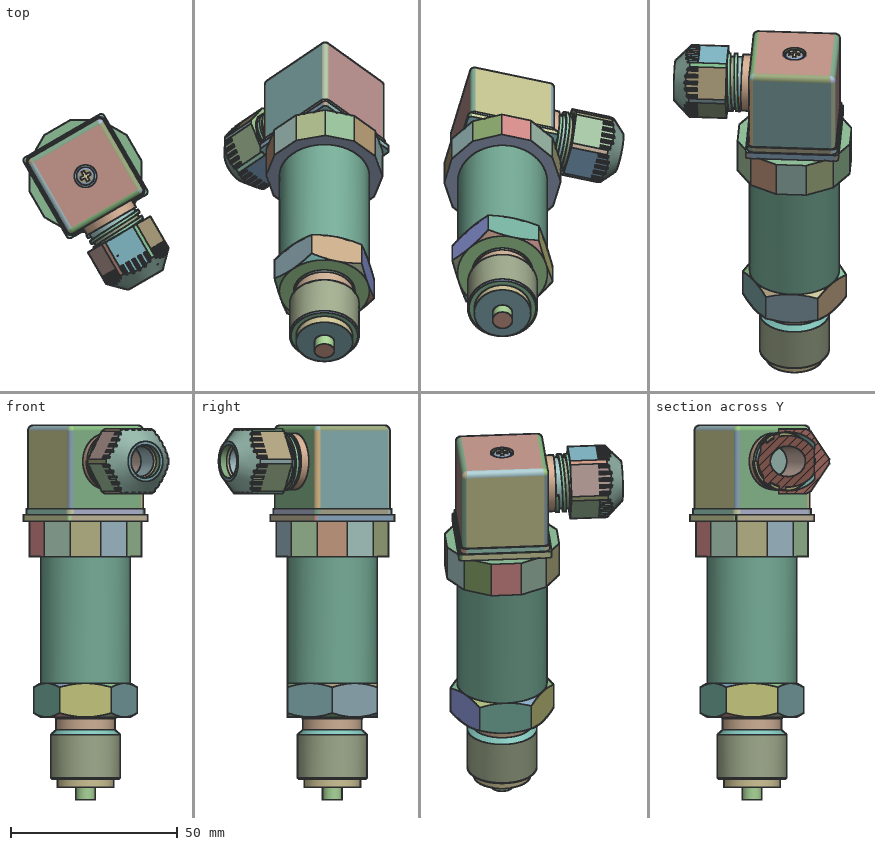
import cadquery as cq
import math

HEAD_TURN = 30.0

Z_PIN_TIP = 0.0
Z_SPIGOT = 3.7
Z_THREAD = 6.2
Z_RELIEF_CONE = 19.6
Z_RELIEF = 21.0
Z_SHOULDER_CONE = 24.3
Z_HEX = 24.8
Z_TUBE = 35.0
Z_COUPLING = 73.0
Z_GASKET = 83.5
Z_FLANGE = 85.5
Z_HOUSING = 87.2
Z_TOP = 112.4

PIN_DIAMETER = 6.0
SPIGOT_DIAMETER = 17.0
THREAD_DIAMETER = 20.9
THREAD_CHAMFER = 0.5
RELIEF_DIAMETER = 17.8
SHOULDER_DIAMETER = 18.4
HEX_ACROSS_FLATS = 27.0
HEX_CHAMFER_ANGLE = 30.0

TUBE_DIAMETER = 27.0
COUPLING_SIDES = 12
COUPLING_ACROSS_FLATS = 33.7

HOUSING_WIDTH = 26.1
HOUSING_CORNER_RADIUS = 1.3
HOUSING_TOP_RADIUS = 1.7
FLANGE_OVERHANG = 0.5
GASKET_WIDTH = 27.9
GASKET_CORNER_RADIUS = 1.0

SCREW_HOLE_DIAMETER = 6.7
SCREW_HOLE_DEPTH = 1.1
SCREW_HEAD_DIAMETER = 5.4
SCREW_HEAD_ROUNDING = 0.6
SCREW_SLOT_LENGTH = 3.3
SCREW_SLOT_WIDTH = 0.9
SCREW_SLOT_DEPTH = 0.7

GLAND_Z = 101.5
COLLAR_DIAMETER = 17.0
COLLAR_END = 15.6
CORE_DIAMETER = 15.5
CORE_END = 25.5
CREST_DIAMETER = 17.4
GLAND_PITCH = 2.1
GLAND_THREAD_START = 16.0
RIDGE_WIDTH = 1.0
RIDGE_SINK = 0.1
CABLE_BORE = 9.0

NUT_BACK = 20.1
NUT_BORE_DIAMETER = CREST_DIAMETER + 0.1
NUT_FRONT = 36.0
NUT_ACROSS_FLATS = 19.5
NUT_CORNER_DIAMETER = 21.7
NUT_FACE_DIAMETER = 12.0
NUT_CONE_ANGLE = 45.0
NUT_MOUTH_DIAMETER = 10.0
GRIP_SLOTS_PER_FLAT = 5
GRIP_SLOT_SPACING = 2.0
GRIP_SLOT_WIDTH = 1.0
GRIP_SLOT_FLOOR_WIDTH = 0.5
GRIP_SLOT_DEPTH = 0.5
GRIP_SLOT_START = 28.7

SEAL_DIAMETER = 14.0
SEAL_FRONT = NUT_FRONT - 2.2
SEAL_LEAD_IN = 0.7

HEX_SIDES = 6
OVERSHOOT = 1.1


def disc(diameter, z_low, z_high):
    """Cylinder on the Z axis between two heights."""
    return cq.Workplane("XY").workplane(offset=z_low).circle(diameter / 2).extrude(z_high - z_low)


def rounded_square(width, corner_radius, z_low, z_high):
    """Square block centred on Z with rounded vertical edges."""
    block = cq.Workplane("XY").workplane(offset=z_low).rect(width, width).extrude(z_high - z_low)
    return block.edges("|Z").fillet(corner_radius)


def prism(sides, across_flats, length):
    """Regular prism on Z from the origin, with flats facing +Y and -Y."""
    corner_radius = across_flats / 2 / math.cos(math.pi / sides)
    turn = math.pi / 2 - math.pi / sides
    corners = [
        (
            corner_radius * math.cos(turn + 2 * math.pi * i / sides),
            corner_radius * math.sin(turn + 2 * math.pi * i / sides),
        )
        for i in range(sides)
    ]
    return cq.Workplane("XY").polyline(corners).close().extrude(length)


def revolved(points):
    """Solid of revolution about Z from (radius, height) points."""
    return cq.Workplane("XZ").polyline(points).close().revolve(360, (0, 0, 0), (0, 1, 0))


def on_gland_axis(shape):
    """Move a shape built along +Z from the origin onto the axis of the cable gland."""
    return shape.rotate((0, 0, 0), (1, 0, 0), 90).translate((0, 0, GLAND_Z))


def turn_head(shape):
    """Turn a part of the connector head into its final direction."""
    return shape.rotate((0, 0, 0), (0, 0, 1), HEAD_TURN)


def make_process_fitting():
    thread_radius = THREAD_DIAMETER / 2
    stem = revolved([
        (0, Z_PIN_TIP),
        (PIN_DIAMETER / 2, Z_PIN_TIP),
        (PIN_DIAMETER / 2, Z_SPIGOT),
        (SPIGOT_DIAMETER / 2, Z_SPIGOT),
        (SPIGOT_DIAMETER / 2, Z_THREAD),
        (thread_radius - THREAD_CHAMFER, Z_THREAD),
        (thread_radius, Z_THREAD + THREAD_CHAMFER),
        (thread_radius, Z_RELIEF_CONE),
        (RELIEF_DIAMETER / 2, Z_RELIEF),
        (RELIEF_DIAMETER / 2, Z_SHOULDER_CONE),
        (SHOULDER_DIAMETER / 2, Z_HEX),
        (0, Z_HEX),
    ])
    flat_radius = HEX_ACROSS_FLATS / 2
    corner_radius = flat_radius / math.cos(math.pi / HEX_SIDES)
    rise = (corner_radius - flat_radius) * math.tan(math.radians(HEX_CHAMFER_ANGLE))
    chamfer_envelope = revolved([
        (0, Z_HEX),
        (flat_radius, Z_HEX),
        (corner_radius, Z_HEX + rise),
        (corner_radius, Z_TUBE - rise),
        (flat_radius, Z_TUBE),
        (0, Z_TUBE),
    ])
    hexagon = prism(HEX_SIDES, HEX_ACROSS_FLATS, Z_TUBE - Z_HEX).translate((0, 0, Z_HEX))
    return stem.union(hexagon.intersect(chamfer_envelope))


def make_tube():
    return disc(TUBE_DIAMETER, Z_TUBE, Z_COUPLING)


def make_coupling():
    return prism(COUPLING_SIDES, COUPLING_ACROSS_FLATS, Z_GASKET - Z_COUPLING).translate((0, 0, Z_COUPLING))


def make_gasket():
    return turn_head(rounded_square(GASKET_WIDTH, GASKET_CORNER_RADIUS, Z_GASKET, Z_FLANGE))


def make_thread_ridge():
    buried_radius = CORE_DIAMETER / 2 - RIDGE_SINK
    length = NUT_BACK + GLAND_PITCH / 2 - GLAND_THREAD_START
    helix = cq.Wire.makeHelix(GLAND_PITCH, length, CORE_DIAMETER / 2, cq.Vector(0, 0, GLAND_THREAD_START))
    profile = (
        cq.Workplane("XZ")
        .polyline([
            (buried_radius, GLAND_THREAD_START - RIDGE_WIDTH / 2),
            (CREST_DIAMETER / 2, GLAND_THREAD_START - RIDGE_WIDTH / 2),
            (CREST_DIAMETER / 2, GLAND_THREAD_START + RIDGE_WIDTH / 2),
            (buried_radius, GLAND_THREAD_START + RIDGE_WIDTH / 2),
        ])
        .close()
    )
    return profile.sweep(helix, isFrenet=True).rotate((0, 0, 0), (0, 0, 1), 180)


def make_housing():
    body = rounded_square(HOUSING_WIDTH, HOUSING_CORNER_RADIUS, Z_FLANGE, Z_TOP)
    body = body.faces(">Z").edges().fillet(HOUSING_TOP_RADIUS)
    flange = rounded_square(
        HOUSING_WIDTH + 2 * FLANGE_OVERHANG, HOUSING_CORNER_RADIUS + FLANGE_OVERHANG, Z_FLANGE, Z_HOUSING
    )
    collar = disc(COLLAR_DIAMETER, 0, COLLAR_END)
    core = disc(CORE_DIAMETER, 0, CORE_END)
    bore = disc(CABLE_BORE, HOUSING_WIDTH / 2, CORE_END + OVERSHOOT)
    gland = core.union(make_thread_ridge()).union(collar)
    housing = body.union(flange).union(on_gland_axis(gland)).cut(on_gland_axis(bore))
    housing = housing.cut(disc(SCREW_HOLE_DIAMETER, Z_TOP - SCREW_HOLE_DEPTH, Z_TOP + OVERSHOOT))
    return turn_head(housing)


def make_screw():
    screw = disc(SCREW_HEAD_DIAMETER, Z_TOP - SCREW_HOLE_DEPTH, Z_TOP).faces(">Z").edges().fillet(SCREW_HEAD_ROUNDING)
    slot = cq.Workplane("XY").box(SCREW_SLOT_LENGTH, SCREW_SLOT_WIDTH, 2 * SCREW_SLOT_DEPTH)
    for angle in (0, 90):
        screw = screw.cut(slot.rotate((0, 0, 0), (0, 0, 1), angle).translate((0, 0, Z_TOP)))
    return turn_head(screw)


def make_gland_nut():
    face_radius = NUT_FACE_DIAMETER / 2
    corner_radius = NUT_CORNER_DIAMETER / 2
    cone_length = (corner_radius - face_radius) / math.tan(math.radians(NUT_CONE_ANGLE))
    envelope = revolved([
        (0, NUT_BACK),
        (corner_radius, NUT_BACK),
        (corner_radius, NUT_FRONT - cone_length),
        (face_radius, NUT_FRONT),
        (0, NUT_FRONT),
    ])
    nut = prism(HEX_SIDES, NUT_ACROSS_FLATS, NUT_FRONT - NUT_BACK).translate((0, 0, NUT_BACK)).intersect(envelope)

    flat_height = NUT_ACROSS_FLATS / 2
    slot = (
        cq.Workplane("XY")
        .workplane(offset=GRIP_SLOT_START)
        .polyline([
            (-GRIP_SLOT_FLOOR_WIDTH / 2, flat_height - GRIP_SLOT_DEPTH),
            (GRIP_SLOT_FLOOR_WIDTH / 2, flat_height - GRIP_SLOT_DEPTH),
            (GRIP_SLOT_WIDTH / 2, flat_height),
            (GRIP_SLOT_WIDTH / 2, flat_height + OVERSHOOT),
            (-GRIP_SLOT_WIDTH / 2, flat_height + OVERSHOOT),
            (-GRIP_SLOT_WIDTH / 2, flat_height),
        ])
        .close()
        .extrude(NUT_FRONT - GRIP_SLOT_START)
    )
    for flat in range(HEX_SIDES):
        for i in range(GRIP_SLOTS_PER_FLAT):
            offset = (i - (GRIP_SLOTS_PER_FLAT - 1) / 2) * GRIP_SLOT_SPACING
            nut = nut.cut(slot.translate((offset, 0, 0)).rotate((0, 0, 0), (0, 0, 1), 360 / HEX_SIDES * flat))

    nut = nut.cut(disc(NUT_BORE_DIAMETER, NUT_BACK - OVERSHOOT, CORE_END))
    nut = nut.cut(disc(SEAL_DIAMETER, CORE_END, SEAL_FRONT))
    nut = nut.cut(disc(NUT_MOUTH_DIAMETER, SEAL_FRONT, NUT_FRONT + OVERSHOOT))
    return turn_head(on_gland_axis(nut))


def make_cable_seal():
    seal = revolved([
        (CABLE_BORE / 2, CORE_END),
        (SEAL_DIAMETER / 2, CORE_END),
        (SEAL_DIAMETER / 2, SEAL_FRONT),
        (NUT_MOUTH_DIAMETER / 2, SEAL_FRONT),
        (CABLE_BORE / 2, SEAL_FRONT - SEAL_LEAD_IN),
    ])
    return turn_head(on_gland_axis(seal))


process_fitting = make_process_fitting()
tube = make_tube()
coupling = make_coupling()
gasket = make_gasket()
housing = make_housing()
screw = make_screw()
gland_nut = make_gland_nut()
cable_seal = make_cable_seal()

result = cq.Compound.makeCompound([
    process_fitting.val(),
    tube.val(),
    coupling.val(),
    gasket.val(),
    housing.val(),
    screw.val(),
    gland_nut.val(),
    cable_seal.val(),
])